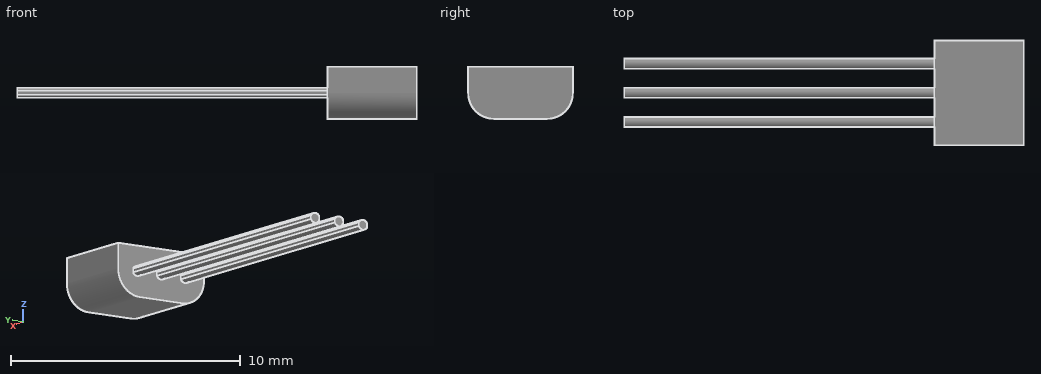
import cadquery as cq

total_length = 17.4
body_length = 3.9
body_width = 4.57
body_height = 2.28
corner_radius = body_height / 2

lead_count = 3
lead_pitch = 1.27
lead_width = 0.45
lead_height = 0.446
lead_flat_height = 0.163
lead_length = total_length - body_length


def make_body():
    """Body along +X from X = 0, flat on top, with its two lower long edges rounded."""
    block = cq.Workplane("XY").box(body_length, body_width, body_height, centered=(False, True, True))
    return block.edges("|X and <Z").fillet(corner_radius)


def make_lead(y_position):
    """Straight lead running in -X from the end face of the body at X = 0."""
    side = lead_width / 2
    crown = lead_height / 2
    flat_end = lead_flat_height / 2
    section = (
        cq.Workplane("YZ")
        .center(y_position, 0)
        .moveTo(side, -flat_end)
        .lineTo(side, flat_end)
        .threePointArc((0, crown), (-side, flat_end))
        .lineTo(-side, -flat_end)
        .threePointArc((0, -crown), (side, -flat_end))
        .close()
    )
    return section.extrude(-lead_length)


body = make_body()

leads = []
for index in range(lead_count):
    y_position = (index - (lead_count - 1) / 2) * lead_pitch
    leads.append(make_lead(y_position).val())

result = cq.Compound.makeCompound([body.val(), *leads])